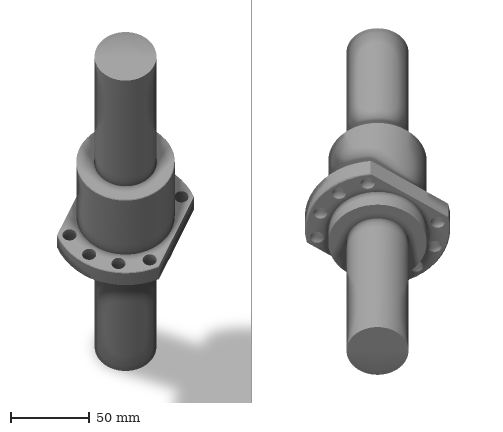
import cadquery as cq

shaft_length = 300.0
shaft_diameter = 39.5

nut_diameter = 63.0
nut_length = 82.5
bore_diameter = 40.2
nut_top_chamfer = 0.45
nut_bottom = -nut_length / 2

flange_diameter = 93.0
flange_width = 70.0
flange_thickness = 13.5
lower_barrel_length = 13.0
flange_bottom = nut_bottom + lower_barrel_length
flange_bottom_edge_radius = 1.0
flange_top_edge_chamfer = 0.45

hole_diameter = 9.0
hole_circle_radius = 39.0
hole_spacing_angle = 30.0
holes_per_group = 4
group_span_angle = hole_spacing_angle * (holes_per_group - 1)
group_center_angles = (90.0, 270.0)


def make_shaft():
    """Plain round shaft."""
    return cq.Workplane("XY").circle(shaft_diameter / 2).extrude(shaft_length / 2, both=True)


def make_flange():
    """Disc with a rounded lower rim and a chamfered upper rim, trimmed by the two flats and drilled."""
    flange = (
        cq.Workplane("XY", origin=(0, 0, flange_bottom))
        .circle(flange_diameter / 2)
        .extrude(flange_thickness)
        .faces("<Z")
        .edges()
        .fillet(flange_bottom_edge_radius)
        .faces(">Z")
        .edges()
        .chamfer(flange_top_edge_chamfer)
    )
    flats = (
        cq.Workplane("XY", origin=(0, 0, flange_bottom))
        .rect(flange_width, flange_diameter)
        .extrude(flange_thickness)
    )
    flange = flange.intersect(flats)
    for center_angle in group_center_angles:
        holes = (
            cq.Workplane("XY", origin=(0, 0, flange_bottom))
            .polarArray(
                hole_circle_radius,
                center_angle - group_span_angle / 2,
                group_span_angle,
                holes_per_group,
            )
            .circle(hole_diameter / 2)
            .extrude(flange_thickness)
        )
        flange = flange.cut(holes)
    return flange


def make_nut():
    """Flanged cylindrical nut with a bore that clears the shaft."""
    barrel = (
        cq.Workplane("XY", origin=(0, 0, nut_bottom))
        .circle(nut_diameter / 2)
        .extrude(nut_length)
        .faces(">Z")
        .edges()
        .chamfer(nut_top_chamfer)
    )
    bore = (
        cq.Workplane("XY", origin=(0, 0, nut_bottom))
        .circle(bore_diameter / 2)
        .extrude(nut_length)
    )
    return barrel.union(make_flange()).cut(bore)


shaft = make_shaft()
nut = make_nut()

result = cq.Compound.makeCompound([shaft.val(), nut.solids().val()])